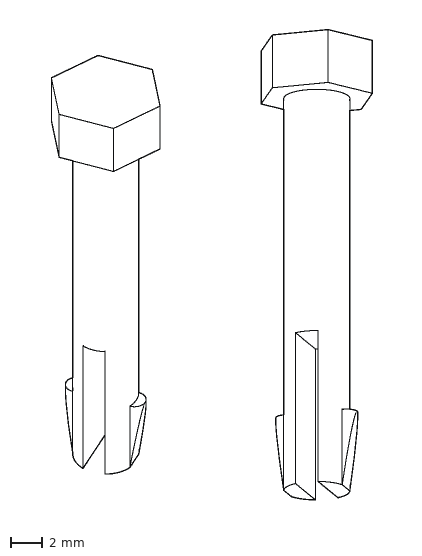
import cadquery as cq
import math

total_length = 29.5
head_flats = 6.5
head_height = 3.5
shank_diameter = 4.22
slot_width = 1.5
slot_height = 10.0
barb_width = 1.5
barb_height = 5.02

shank_length = total_length - head_height
shank_radius = shank_diameter / 2
head_corners = head_flats / math.cos(math.radians(30))
barb_radius = barb_width / 2
barb_offset = math.sqrt(shank_radius**2 - barb_radius**2)
barb_tip = barb_offset + barb_radius


def make_head():
    """Hexagonal head with corners on the X axis."""
    return (
        cq.Workplane("XY")
        .workplane(offset=shank_length)
        .polygon(6, head_corners)
        .extrude(head_height)
    )


def make_shank():
    """Round shank with its lower end split along Y into two legs."""
    shank = cq.Workplane("XY").circle(shank_radius).extrude(shank_length)
    slot = cq.Workplane("XY").box(
        slot_width, shank_diameter, slot_height, centered=(True, True, False)
    )
    return shank.cut(slot)


def make_barb():
    """Round-nosed barb on the +X leg, before its outer face is tapered."""
    inner_x = slot_width / 2
    return (
        cq.Workplane("XY")
        .moveTo(inner_x, -barb_radius)
        .lineTo(barb_offset, -barb_radius)
        .threePointArc((barb_tip, 0), (barb_offset, barb_radius))
        .lineTo(inner_x, barb_radius)
        .close()
        .extrude(barb_height)
    )


def make_taper_cutter():
    """Wedge that trims the +X leg flush with the sloping face of the barb."""
    return (
        cq.Workplane("XZ")
        .polyline([
            (barb_offset, 0),
            (barb_tip, 0),
            (barb_tip, barb_height),
        ])
        .close()
        .extrude(barb_radius, both=True)
    )


result = make_shank().union(make_head())
for barb_angle in (0, 180):
    barb = make_barb().rotate((0, 0, 0), (0, 0, 1), barb_angle)
    taper_cutter = make_taper_cutter().rotate((0, 0, 0), (0, 0, 1), barb_angle)
    result = result.union(barb).cut(taper_cutter)